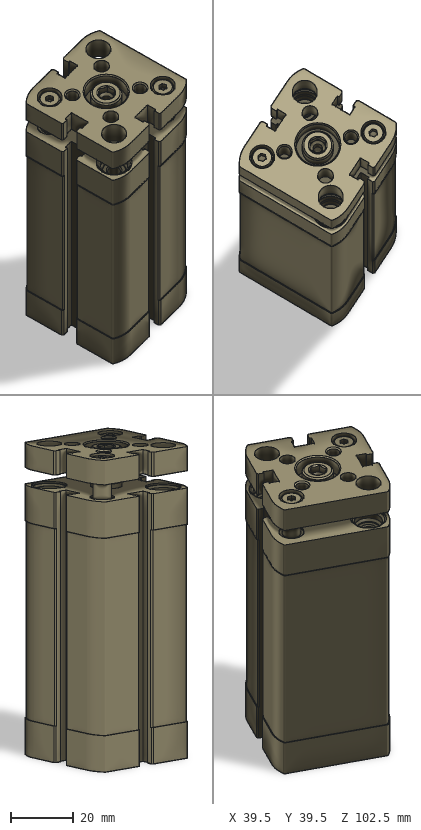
import cadquery as cq
import math

WIDTH = 39.5
HALF_WIDTH = WIDTH / 2
HEIGHT = 102.5
PLATE_HEIGHT = 8.0
PLATE_BOTTOM = HEIGHT - PLATE_HEIGHT
HOUSING_HEIGHT = 88.9
CAP_HEIGHT = 12.0
BARREL_INSET = 0.3

CORNER_PITCH = 13.0
SMALL_HOLE_PITCH = 7.8

BOW_RADIUS = 11.3
BOW_EDGE_RADIUS = 0.8

SLOT_ANGLES = (0, 180, 270)
SLOT_MOUTH = 5.3
SLOT_WIDTH = 6.8
SLOT_LIP = 2.4
SLOT_DEPTH = 5.6
SLOT_CHAMFER = 0.5
HOUSING_SLOT_NARROWING = 0.2

GUIDE_DIAMETER = 6.0
GUIDE_INSERTION = CAP_HEIGHT
WIPER_DIAMETER = 8.0
WIPER_DEPTH = 0.5
SEAT_DIAMETER = 8.0
SEAT_DEPTH = 4.1
HEAD_DIAMETER = 7.0
HEAD_CHAMFER = 0.4
HEAD_DROP = 0.6
HEAD_SOCKET = 2.5
HEAD_SOCKET_DEPTH = 2.0
HEAD_SOCKET_TURN = 15

ROD_DIAMETER = 10.0
ROD_TOP = HEIGHT - HEAD_DROP
ROD_CHAMFER = 0.5
ROD_INSERTION = CAP_HEIGHT
ROD_FLATS = 9.0
ROD_FLAT_LENGTH = 4.1
ROD_SOCKET = 5.0
ROD_SOCKET_DEPTH = 2.6
ROD_MOUTH_DIAMETER = 6.0
ROD_MOUTH_DEPTH = 0.4
ROD_DRILL_DIAMETER = 3.0
ROD_DRILL_DEPTH = 6.2
DRILL_POINT_ANGLE = 118
DRILL_POINT_SLOPE = 1 / math.tan(math.radians(DRILL_POINT_ANGLE / 2))

RECESS_DIAMETER = 14.0
RECESS_DEPTH = 5.0
RECESS_CHAMFER = 0.4
ACCESS_DIAMETER = 8.0
PIN_HOLE_DIAMETER = 5.0
TAPPED_DIAMETER = 4.1
TAPPED_CHAMFER = 0.46

BOLT_RECESS_DIAMETER = 11.5
BOLT_RECESS_DEPTH = 0.5
BOLT_MOUTH_DIAMETER = 10.5
BOLT_BORE_DIAMETER = 9.0
BOLT_BORE_DEPTH = 3.1
BOLT_SEAT_DIAMETER = 7.5
BOLT_SEAT_DEPTH = 4.2
BOLT_HOLE_MOUTH = 5.0
BOLT_HOLE_DIAMETER = 4.1

CENTRE = [(0, 0)]


def rising_pair(pitch):
    """Points on the diagonal from (-X, -Y) to (+X, +Y)."""
    return [(pitch, pitch), (-pitch, -pitch)]


def falling_pair(pitch):
    """Points on the diagonal from (-X, +Y) to (+X, -Y)."""
    return [(-pitch, pitch), (pitch, -pitch)]


GUIDES = rising_pair(CORNER_PITCH)
BOLTS = falling_pair(CORNER_PITCH)
TAPPED_HOLES = rising_pair(SMALL_HOLE_PITCH)
PIN_HOLES = falling_pair(SMALL_HOLE_PITCH)


def cylinders(points, diameter, bottom, top):
    plane = cq.Workplane("XY", origin=(0, 0, bottom))
    return plane.pushPoints(points).circle(diameter / 2).extrude(top - bottom)


def cones(points, bottom_diameter, top_diameter, bottom, top):
    cone = cq.Solid.makeCone(bottom_diameter / 2, top_diameter / 2, top - bottom)
    return cq.Workplane("XY").pushPoints(points).eachpoint(
        lambda place: cone.translate(cq.Vector(0, 0, bottom)).moved(place)
    )


def hexagons(points, across_flats, bottom, top, turn=0):
    plane = cq.Workplane("XY", origin=(0, 0, bottom))
    corner_diameter = across_flats / math.cos(math.pi / 6)
    hexagon = plane.polygon(6, corner_diameter).extrude(top - bottom).rotate((0, 0, 0), (0, 0, 1), turn)
    return cq.Workplane("XY").pushPoints(points).eachpoint(lambda place: hexagon.val().moved(place))


def bowed_square(half, bow_radius, bottom, height):
    """Square prism whose -X and +X sides curve inward past the corner hole lines."""
    bow_centre = half - bow_radius
    bow_rise = half - CORNER_PITCH
    corner_x = bow_centre + math.sqrt(bow_radius**2 - bow_rise**2)
    half_sweep = math.asin(bow_rise / bow_radius) / 2
    middle_x = bow_centre + bow_radius * math.cos(half_sweep)
    middle_y = CORNER_PITCH + bow_radius * math.sin(half_sweep)
    prism = (
        cq.Workplane("XY", origin=(0, 0, bottom))
        .moveTo(half, -CORNER_PITCH)
        .lineTo(half, CORNER_PITCH)
        .threePointArc((middle_x, middle_y), (corner_x, half))
        .lineTo(-corner_x, half)
        .threePointArc((-middle_x, middle_y), (-half, CORNER_PITCH))
        .lineTo(-half, -CORNER_PITCH)
        .threePointArc((-middle_x, -middle_y), (-corner_x, -half))
        .lineTo(corner_x, -half)
        .threePointArc((middle_x, -middle_y), (half, -CORNER_PITCH))
        .close()
        .extrude(height)
    )
    corners = prism.edges("|Z").edges(">Y or <Y")
    return corners.fillet(BOW_EDGE_RADIUS)


def t_slot(half, narrowing, bottom, height):
    """T-slot cutter for the +X side, with a chamfered mouth."""
    mouth = (SLOT_MOUTH - narrowing) / 2
    inner = (SLOT_WIDTH - narrowing) / 2
    lip_x = HALF_WIDTH - SLOT_LIP
    floor_x = HALF_WIDTH - SLOT_DEPTH + narrowing
    upper_side = [
        (half, mouth + SLOT_CHAMFER),
        (half - SLOT_CHAMFER, mouth),
        (lip_x, mouth),
        (lip_x, inner),
        (floor_x, inner),
    ]
    lower_side = [(x, -y) for x, y in reversed(upper_side)]
    plane = cq.Workplane("XY", origin=(0, 0, bottom))
    return plane.polyline(upper_side + lower_side).close().extrude(height)


def slotted_block(bottom, height, inset=0.0, slot_narrowing=0.0):
    half = HALF_WIDTH - inset
    block = bowed_square(half, BOW_RADIUS - inset, bottom, height)
    slot = t_slot(half, slot_narrowing, bottom, height)
    for angle in SLOT_ANGLES:
        block = block.cut(slot.rotate((0, 0, 0), (0, 0, 1), angle))
    return block


def cut_bolt_holes(body):
    recess_floor = HOUSING_HEIGHT - BOLT_RECESS_DEPTH
    mouth_bottom = recess_floor - (BOLT_MOUTH_DIAMETER - BOLT_BORE_DIAMETER) / 2
    bore_floor = HOUSING_HEIGHT - BOLT_BORE_DEPTH
    shoulder_bottom = bore_floor - (BOLT_BORE_DIAMETER - BOLT_SEAT_DIAMETER) / 2
    seat_floor = HOUSING_HEIGHT - BOLT_SEAT_DEPTH
    hole_mouth_bottom = seat_floor - (BOLT_HOLE_MOUTH - BOLT_HOLE_DIAMETER) / 2
    body = body.cut(cylinders(BOLTS, BOLT_RECESS_DIAMETER, recess_floor, HOUSING_HEIGHT))
    body = body.cut(cones(BOLTS, BOLT_BORE_DIAMETER, BOLT_MOUTH_DIAMETER, mouth_bottom, recess_floor))
    body = body.cut(cylinders(BOLTS, BOLT_BORE_DIAMETER, bore_floor, HOUSING_HEIGHT))
    body = body.cut(cones(BOLTS, BOLT_SEAT_DIAMETER, BOLT_BORE_DIAMETER, shoulder_bottom, bore_floor))
    body = body.cut(cylinders(BOLTS, BOLT_SEAT_DIAMETER, seat_floor, HOUSING_HEIGHT))
    body = body.cut(cones(BOLTS, BOLT_HOLE_DIAMETER, BOLT_HOLE_MOUTH, hole_mouth_bottom, seat_floor))
    return body.cut(cylinders(BOLTS, BOLT_HOLE_DIAMETER, 0, HOUSING_HEIGHT))


def make_housing():
    barrel_height = HOUSING_HEIGHT - 2 * CAP_HEIGHT
    top_cap_bottom = HOUSING_HEIGHT - CAP_HEIGHT
    body = slotted_block(0, CAP_HEIGHT, slot_narrowing=HOUSING_SLOT_NARROWING)
    body = body.union(slotted_block(CAP_HEIGHT, barrel_height, BARREL_INSET, HOUSING_SLOT_NARROWING))
    body = body.union(slotted_block(top_cap_bottom, CAP_HEIGHT, slot_narrowing=HOUSING_SLOT_NARROWING))
    body = body.cut(cylinders(GUIDES, WIPER_DIAMETER, HOUSING_HEIGHT - WIPER_DEPTH, HOUSING_HEIGHT))
    body = body.cut(cylinders(GUIDES, GUIDE_DIAMETER, HOUSING_HEIGHT - GUIDE_INSERTION, HOUSING_HEIGHT))
    body = body.cut(cylinders(CENTRE, ROD_DIAMETER, HOUSING_HEIGHT - ROD_INSERTION, HOUSING_HEIGHT))
    return cut_bolt_holes(body)


def make_plate():
    plate = slotted_block(PLATE_BOTTOM, PLATE_HEIGHT)
    plate = plate.cut(cylinders(BOLTS, ACCESS_DIAMETER, PLATE_BOTTOM, HEIGHT))
    plate = plate.cut(cylinders(PIN_HOLES, PIN_HOLE_DIAMETER, PLATE_BOTTOM, HEIGHT))
    plate = plate.cut(cylinders(TAPPED_HOLES, TAPPED_DIAMETER, PLATE_BOTTOM, HEIGHT))
    tapped_mouth = TAPPED_DIAMETER + 2 * TAPPED_CHAMFER
    plate = plate.cut(cones(TAPPED_HOLES, TAPPED_DIAMETER, tapped_mouth, HEIGHT - TAPPED_CHAMFER, HEIGHT))
    plate = plate.cut(cylinders(CENTRE, RECESS_DIAMETER, HEIGHT - RECESS_DEPTH, HEIGHT))
    recess_mouth = RECESS_DIAMETER + 2 * RECESS_CHAMFER
    plate = plate.cut(cones(CENTRE, RECESS_DIAMETER, recess_mouth, HEIGHT - RECESS_CHAMFER, HEIGHT))
    return plate.cut(cylinders(GUIDES, SEAT_DIAMETER, HEIGHT - SEAT_DEPTH, HEIGHT))


def make_guides():
    seat_floor = HEIGHT - SEAT_DEPTH
    head_top = HEIGHT - HEAD_DROP
    heads = cylinders(GUIDES, HEAD_DIAMETER, seat_floor, head_top).faces(">Z").chamfer(HEAD_CHAMFER)
    heads = heads.cut(hexagons(GUIDES, HEAD_SOCKET, head_top - HEAD_SOCKET_DEPTH, head_top, HEAD_SOCKET_TURN))
    return heads.union(cylinders(GUIDES, GUIDE_DIAMETER, HOUSING_HEIGHT - GUIDE_INSERTION, seat_floor))


def cut_wrench_flats(rod):
    cut_depth = (ROD_DIAMETER - ROD_FLATS) / 2
    for side in (-1, 1):
        cutter = (
            cq.Workplane("XY", origin=(0, 0, PLATE_BOTTOM - ROD_FLAT_LENGTH))
            .center(0, side * (ROD_DIAMETER - cut_depth) / 2)
            .rect(ROD_DIAMETER, cut_depth)
            .extrude(ROD_FLAT_LENGTH)
        )
        rod = rod.cut(cutter)
    return rod


def cut_rod_end(rod):
    """Hexagon socket with a conical mouth and floor, and a drilled hole below it."""
    socket_floor = ROD_TOP - ROD_SOCKET_DEPTH
    floor_cone_height = ROD_SOCKET / 2 * DRILL_POINT_SLOPE
    drill_floor = ROD_TOP - ROD_DRILL_DEPTH
    drill_tip = drill_floor - ROD_DRILL_DIAMETER / 2 * DRILL_POINT_SLOPE
    rod = rod.cut(cones(CENTRE, ROD_SOCKET, ROD_MOUTH_DIAMETER, ROD_TOP - ROD_MOUTH_DEPTH, ROD_TOP))
    rod = rod.cut(hexagons(CENTRE, ROD_SOCKET, socket_floor, ROD_TOP))
    rod = rod.cut(cones(CENTRE, 0, ROD_SOCKET, socket_floor - floor_cone_height, socket_floor))
    rod = rod.cut(cylinders(CENTRE, ROD_DRILL_DIAMETER, drill_floor, socket_floor))
    return rod.cut(cones(CENTRE, 0, ROD_DRILL_DIAMETER, drill_tip, drill_floor))


def make_piston_rod():
    rod = cylinders(CENTRE, ROD_DIAMETER, HOUSING_HEIGHT - ROD_INSERTION, ROD_TOP)
    rod = rod.faces(">Z").chamfer(ROD_CHAMFER)
    return cut_wrench_flats(rod)


def make_carriage():
    body = make_plate().union(make_guides()).union(make_piston_rod())
    return cut_rod_end(body)


housing = make_housing()
carriage = make_carriage()
result = cq.Compound.makeCompound([housing.solids().val(), carriage.solids().val()])